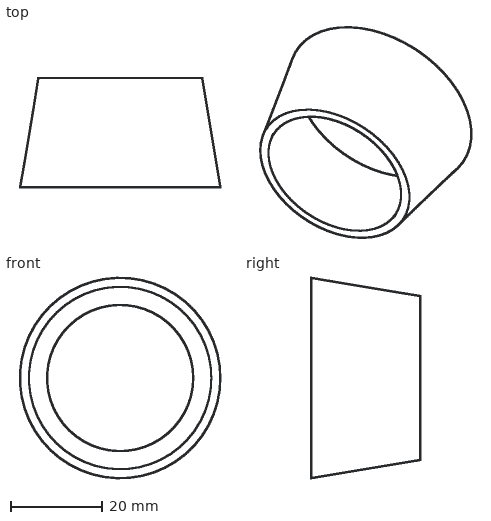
import cadquery as cq

large_diameter = 44.0
small_diameter = 36.0
wall_thickness = 2.0
length = 24.0

large_radius = large_diameter / 2
small_radius = small_diameter / 2


def sleeve():
    """Tapered wall section revolved about the Y axis."""
    wall_section = [
        (large_radius - wall_thickness, 0),
        (large_radius, 0),
        (small_radius, length),
        (small_radius - wall_thickness, length),
    ]
    return (
        cq.Workplane("XY")
        .polyline(wall_section)
        .close()
        .revolve(360, (0, 0, 0), (0, 1, 0))
    )


result = sleeve()